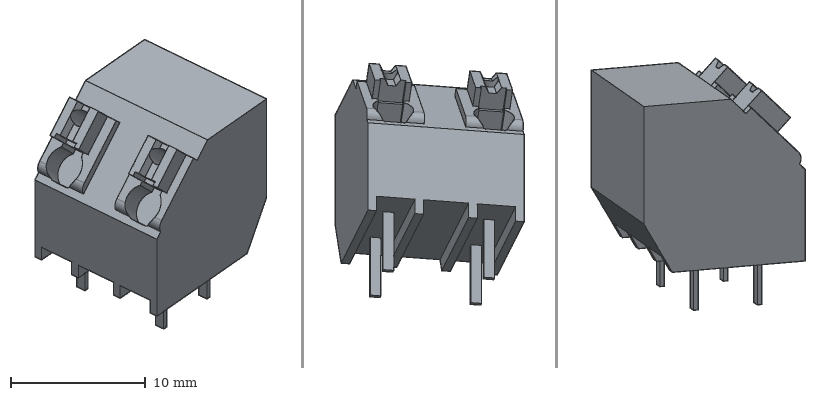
import cadquery as cq
import math


width = 11.82
depth = 12.7
height = 12.88
slope_run = 5.86
front_height = height - slope_run
back_chamfer_run = 2.25
back_chamfer_angle = 60
back_chamfer_rise = back_chamfer_run * math.tan(math.radians(back_chamfer_angle))

pitch = 7.62
pole_positions = (-pitch / 2, pitch / 2)

foot_height = 1.16
pole_channel_width = 2.9
middle_channel_width = 3.4

pad_width = 4.34
pad_thickness = 0.6
pad_round_radius = 0.78
pad_start = 1.7
pad_end = 7.66
pad_inset = (width - pad_width) / 2

lever_width = 2.8
lever_length = 3.2
lever_end = pad_start + lever_length
lever_top = 2.1
notch_width = 1.93
notch_length = 0.34
notch_end = lever_end - notch_length
groove_top_width = 1.22
groove_floor_width = 0.6
groove_depth = 0.5
driver_hole_diameter = 1.24
driver_hole_down = 2.74

ledge_height = 0.3
entry_diameter = 3.04
entry_down = 6.42
entry_flat_top = 4.88
entry_flat_bottom = 7.75
entry_floor = -1.34

pin_width = 0.8
pin_thickness = 0.36
pin_drop = 3.5
pin_rows = (3.0, 8.0)

slope_plane = cq.Plane(
    origin=(0, slope_run, height), xDir=(1, 0, 0), normal=(0, -1, 1)
)


def slope_box(x, box_width, down_start, down_end, low, high):
    """Box in the slope frame, centred on x and spanning the given distances down and out of it."""
    return (
        cq.Workplane(slope_plane)
        .workplane(offset=low)
        .center(x, -(down_start + down_end) / 2)
        .rect(box_width, down_end - down_start)
        .extrude(high - low)
    )


def slope_cylinder(x, down, diameter, low, high):
    """Cylinder standing square to the slope."""
    return (
        cq.Workplane(slope_plane)
        .workplane(offset=low)
        .center(x, -down)
        .circle(diameter / 2)
        .extrude(high - low)
    )


def lever_blank(x):
    """Lever block with the notch in its lower end, standing on the slope."""
    block = slope_box(x, lever_width, pad_start, lever_end, 0, lever_top)
    notch = slope_box(x, notch_width, notch_end, lever_end, 0, lever_top)
    return block.cut(notch)


def make_lever(x):
    """Lever with a tapered screwdriver groove and a round hole through it."""
    groove_plane = cq.Plane(
        origin=slope_plane.toWorldCoords((x, -pad_start, lever_top)),
        xDir=slope_plane.xDir,
        normal=-slope_plane.yDir,
    )
    groove = (
        cq.Workplane(groove_plane)
        .moveTo(-groove_top_width / 2, 0)
        .lineTo(-groove_floor_width / 2, -groove_depth)
        .lineTo(groove_floor_width / 2, -groove_depth)
        .lineTo(groove_top_width / 2, 0)
        .close()
        .extrude(lever_length)
    )
    hole = slope_cylinder(x, driver_hole_down, driver_hole_diameter, 0, lever_top)
    return lever_blank(x).cut(groove).cut(hole)


def make_pad(x):
    """Raised pad whose lower end is rounded over down to the slope."""
    side_plane = cq.Plane(
        origin=slope_plane.toWorldCoords((x - pad_width / 2, 0, 0)),
        xDir=-slope_plane.yDir,
        normal=-slope_plane.xDir,
    )
    round_centre_low = pad_thickness - pad_round_radius
    round_run = math.sqrt(pad_round_radius**2 - round_centre_low**2)
    round_start = pad_end - round_run
    half_angle = math.acos(round_centre_low / -pad_round_radius) / 2
    round_middle = (
        round_start + pad_round_radius * math.sin(half_angle),
        round_centre_low + pad_round_radius * math.cos(half_angle),
    )
    return (
        cq.Workplane(side_plane)
        .moveTo(pad_start, 0)
        .lineTo(pad_start, pad_thickness)
        .lineTo(round_start, pad_thickness)
        .threePointArc(round_middle, (pad_end, 0))
        .close()
        .extrude(-pad_width)
    )


def make_wire_entry(x):
    """Round wire entry with a flat lower wall and a square slot at its upper side."""
    bore = slope_cylinder(x, entry_down, entry_diameter, entry_floor, pad_thickness)
    clip = slope_box(
        x, entry_diameter, entry_flat_top, entry_flat_bottom, entry_floor, pad_thickness
    )
    slot = slope_box(x, notch_width, entry_flat_top, entry_down, entry_floor, pad_thickness)
    ledge = slope_box(x, notch_width, notch_end, entry_flat_top, ledge_height, pad_thickness)
    return bore.intersect(clip).union(slot).union(ledge)


def make_housing():
    """Housing block with its pads, lever seats, wire entries and foot channels."""
    body = (
        cq.Workplane("YZ", origin=(-width / 2, 0, 0))
        .moveTo(0, 0)
        .lineTo(0, front_height)
        .lineTo(slope_run, height)
        .lineTo(depth, height)
        .lineTo(depth, back_chamfer_rise)
        .lineTo(depth - back_chamfer_run, 0)
        .close()
        .extrude(width)
    )
    for side in (-1, 1):
        body = body.union(make_pad(side * pad_inset))
    for x in pole_positions:
        body = body.cut(lever_blank(x)).cut(make_wire_entry(x))
    channels = [(x, pole_channel_width) for x in pole_positions]
    channels.append((0, middle_channel_width))
    for x, channel_width in channels:
        channel = cq.Workplane("XY").box(
            channel_width, depth, foot_height, centered=(True, False, False)
        )
        body = body.cut(channel.translate((x, 0, 0)))
    return body


def make_pin(x, y):
    """Flat solder pin hanging from the roof of a foot channel."""
    return (
        cq.Workplane("XY")
        .box(pin_width, pin_thickness, pin_drop + foot_height, centered=(True, True, False))
        .translate((x, y, -pin_drop))
    )


housing = make_housing()
levers = [make_lever(x) for x in pole_positions]
pins = [make_pin(x, y) for x in pole_positions for y in pin_rows]

result = cq.Compound.makeCompound(
    [housing.val()] + [lever.val() for lever in levers] + [pin.val() for pin in pins]
)